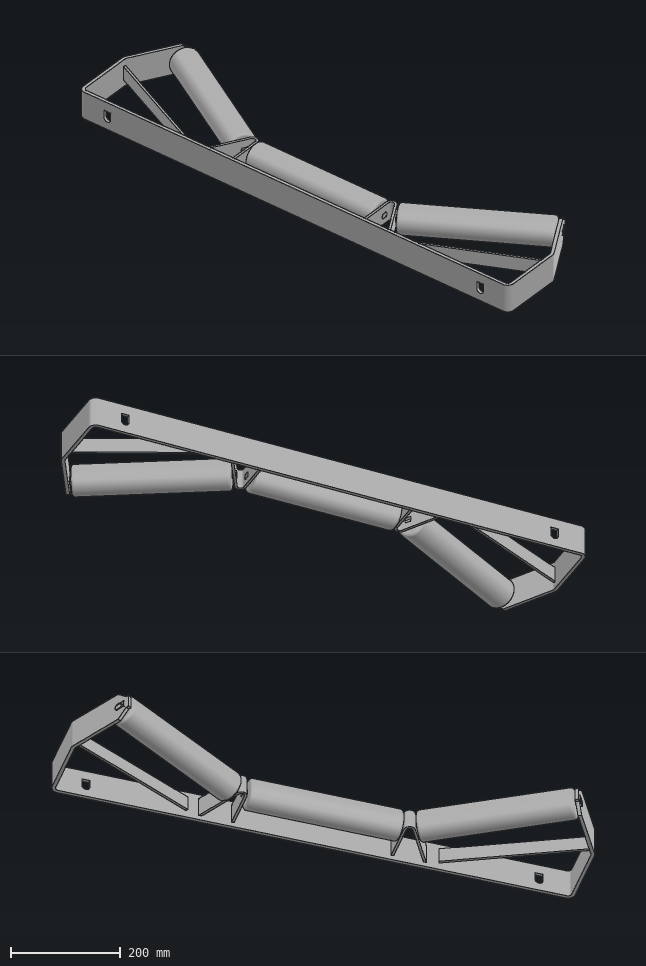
import cadquery as cq
import math


TROUGH_ANGLE = 30.0
ROLLER_SPAN = 300.0

FRAME_LENGTH = 1000.0
FRAME_HEIGHT = 253.013
FRAME_WIDTH = 60.0
FRAME_THICKNESS = 7.0
FRAME_BEND_RADIUS = 14.0
TIP_WIDTH = 26.0
TIP_STRAIGHT_LENGTH = 6.0
TIP_TAPER_LENGTH = 20.0
MOUNT_SLOT_SPACING = 866.0
MOUNT_SLOT_WIDTH = 15.0
MOUNT_SLOT_BOTTOM = -13.0
MOUNT_SLOT_TOP = 9.5

BRACKET_TOP = 94.0
BRACKET_WIDTH = 40.0
BRACKET_THICKNESS = 5.0
BRACKET_BEND_RADIUS = 11.0

BRACE_THICKNESS = 5.0
BRACE_WIDTH = 30.0
BRACE_ANGLE = 25.0
BRACE_FOOT_X = 242.0

ROLLER_DIAMETER = 60.0
ROLLER_LENGTH = 293.0
ROLLER_EDGE_RADIUS = 6.0
AXLE_DIAMETER = 14.0
AXLE_FLATS = 10.0
BRACKET_AXLE_Z = -2.0
LEVEL_ROLLER_Y = 71.0
SIDE_ROLLER_TIP_DISTANCE = 25.7

AXLE_SLOT_WIDTH = 13.0
AXLE_SLOT_LENGTH = 21.5
AXLE_SLOT_TIP_DISTANCE = 27.0

COS = math.cos(math.radians(TROUGH_ANGLE))
SIN = math.sin(math.radians(TROUGH_ANGLE))
UP_Z = cq.Vector(0, 0, 1)
UP_STRIP = cq.Vector(SIN, COS, 0)
ALONG_ROLLER = cq.Vector(COS, -SIN, 0)

bend_center = cq.Vector(
    -ROLLER_SPAN / 2 - BRACKET_BEND_RADIUS,
    BRACKET_TOP - BRACKET_BEND_RADIUS,
    0,
)
bracket_face = bend_center - ALONG_ROLLER * BRACKET_BEND_RADIUS
frame_face = bracket_face - ALONG_ROLLER * (ROLLER_SPAN + FRAME_THICKNESS)
frame_tip = frame_face + UP_STRIP * ((FRAME_HEIGHT - frame_face.y) / COS)
axle_slot_center = frame_tip - UP_STRIP * AXLE_SLOT_TIP_DISTANCE
side_axis_start = frame_tip - UP_STRIP * SIDE_ROLLER_TIP_DISTANCE
side_axis_end = side_axis_start + cq.Vector(0, 0, BRACKET_AXLE_Z) + ALONG_ROLLER * (
    FRAME_THICKNESS + ROLLER_SPAN + BRACKET_THICKNESS
)
level_axis_start = cq.Vector(-ROLLER_SPAN / 2 - BRACKET_THICKNESS, LEVEL_ROLLER_Y, BRACKET_AXLE_Z)
level_axis_end = cq.Vector(-level_axis_start.x, LEVEL_ROLLER_Y, BRACKET_AXLE_Z)
frame_bend_y = frame_tip.y - (frame_tip.x + FRAME_LENGTH / 2) * COS / SIN


def mirrored(body):
    """Right-hand twin of a left-hand body."""
    return body.mirror("YZ")


def u_slot(plane, length, width, depth):
    """Slot cutter along local x: round end centred on the origin, flat end at the far side."""
    radius = width / 2
    return (
        cq.Workplane(plane)
        .moveTo(0, radius)
        .lineTo(length - radius, radius)
        .lineTo(length - radius, -radius)
        .lineTo(0, -radius)
        .threePointArc((-radius, 0), (0, radius))
        .close()
        .extrude(depth)
    )


def tip_cutter():
    """Trims the inclined end of the frame square and tapers its two corners."""
    reach = FRAME_WIDTH
    half_width = FRAME_WIDTH / 2
    half_tip = TIP_WIDTH / 2
    taper_end = -TIP_STRAIGHT_LENGTH - TIP_TAPER_LENGTH
    plane = cq.Plane(frame_tip, xDir=UP_STRIP, normal=ALONG_ROLLER)
    return (
        cq.Workplane(plane)
        .polyline([
            (0, half_tip),
            (-TIP_STRAIGHT_LENGTH, half_tip),
            (taper_end, half_width),
            (reach, half_width),
            (reach, -half_width),
            (taper_end, -half_width),
            (-TIP_STRAIGHT_LENGTH, -half_tip),
            (0, -half_tip),
        ])
        .close()
        .extrude(FRAME_THICKNESS)
    )


def make_frame():
    """One bent strip: base, two upright sides and two inclined ends, with axle and mounting slots."""
    half_length = FRAME_LENGTH / 2
    rough_end = frame_tip + UP_STRIP * FRAME_THICKNESS
    frame = (
        cq.Workplane("XY")
        .polyline([
            rough_end.toTuple()[:2],
            (-half_length, frame_bend_y),
            (-half_length, 0),
            (half_length, 0),
            (half_length, frame_bend_y),
            (-rough_end.x, rough_end.y),
        ])
        .close()
        .extrude(FRAME_WIDTH / 2, both=True)
        .edges("|Z")
        .edges("not >Y")
        .fillet(FRAME_BEND_RADIUS)
        .faces("|Z or >Y")
        .shell(-FRAME_THICKNESS)
    )
    slot_plane = cq.Plane(axle_slot_center, xDir=UP_STRIP, normal=ALONG_ROLLER)
    mount_plane = cq.Plane(
        (-MOUNT_SLOT_SPACING / 2, 0, MOUNT_SLOT_BOTTOM + MOUNT_SLOT_WIDTH / 2),
        xDir=(0, 0, 1),
        normal=(0, 1, 0),
    )
    cutters = [
        tip_cutter(),
        u_slot(slot_plane, AXLE_SLOT_LENGTH, AXLE_SLOT_WIDTH, FRAME_THICKNESS),
        u_slot(mount_plane, MOUNT_SLOT_TOP - MOUNT_SLOT_BOTTOM, MOUNT_SLOT_WIDTH, FRAME_THICKNESS),
    ]
    for cutter in cutters:
        frame = frame.cut(cutter).cut(mirrored(cutter))
    return frame


def make_bracket(axles):
    """Left bracket: an upright leg and an inclined leg joined by one bend, with holes for the axles."""
    upright_x = -ROLLER_SPAN / 2
    foot = bracket_face - UP_STRIP * ((bracket_face.y - FRAME_THICKNESS) / COS)
    apex = bracket_face + UP_STRIP * ((upright_x - bracket_face.x) / SIN)
    bracket = (
        cq.Workplane("XY")
        .polyline([(foot.x, foot.y), (apex.x, apex.y), (upright_x, foot.y)])
        .close()
        .extrude(BRACKET_WIDTH / 2, both=True)
        .edges("|Z and >Y")
        .fillet(BRACKET_BEND_RADIUS)
        .faces("|Z or <Y")
        .shell(-BRACKET_THICKNESS)
    )
    for axle in axles:
        bracket = bracket.cut(axle)
    return bracket


def make_brace(frame):
    """Left brace: a flat bar from the frame bend down to the base, trimmed to the inside of the frame."""
    cos = math.cos(math.radians(BRACE_ANGLE))
    sin = math.sin(math.radians(BRACE_ANGLE))
    wall_x = -FRAME_LENGTH / 2 + FRAME_THICKNESS
    foot = cq.Vector(-BRACE_FOOT_X, FRAME_THICKNESS, 0)
    head_y = foot.y + (foot.x - wall_x) * sin / cos
    return (
        cq.Workplane("XY")
        .polyline([
            (foot.x, foot.y),
            (wall_x, head_y),
            (wall_x, head_y + BRACE_THICKNESS / cos),
            (foot.x + BRACE_THICKNESS * sin, foot.y + BRACE_THICKNESS * cos),
        ])
        .close()
        .extrude(BRACE_WIDTH / 2, both=True)
        .cut(frame)
    )


def make_axle(start, end):
    """Round bar with two flats, its end faces at start and end."""
    axis = end - start
    plane = cq.Plane(start, xDir=UP_Z.cross(axis), normal=axis)
    flats = cq.Workplane(plane).rect(AXLE_DIAMETER, AXLE_FLATS).extrude(axis.Length)
    return cq.Workplane(plane).circle(AXLE_DIAMETER / 2).extrude(axis.Length).intersect(flats)


def make_roller(axle, start, end, start_thickness):
    """Roller on its axle, centred between the bracket and the strip of start_thickness at the start."""
    roller_start = start_thickness + (ROLLER_SPAN - ROLLER_LENGTH) / 2
    return (
        cq.Workplane(cq.Plane(start, normal=end - start))
        .workplane(offset=roller_start)
        .circle(ROLLER_DIAMETER / 2)
        .extrude(ROLLER_LENGTH)
        .edges()
        .fillet(ROLLER_EDGE_RADIUS)
        .union(axle)
    )


side_axle = make_axle(side_axis_start, side_axis_end)
level_axle = make_axle(level_axis_start, level_axis_end)

frame = make_frame()
level_roller = make_roller(level_axle, level_axis_start, level_axis_end, BRACKET_THICKNESS)
left_parts = [
    make_bracket([side_axle, level_axle]),
    make_brace(frame),
    make_roller(side_axle, side_axis_start, side_axis_end, FRAME_THICKNESS),
]

bodies = [frame.val(), level_roller.val()]
for part in left_parts:
    bodies.append(part.val())
    bodies.append(mirrored(part).val())

result = cq.Compound.makeCompound(bodies)